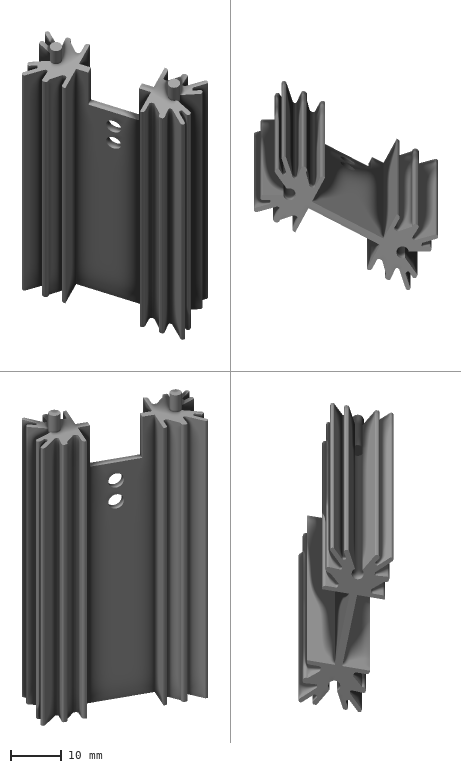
import cadquery as cq
import math

total_height = 67.45
pin_protrusion = 3.85
body_height = total_height - pin_protrusion
half_width = 17.5
half_depth = 6.35

web_half_thickness = 0.75
column_inner_x = 8.0

notch_width = 10.9
notch_depth = 9.45
mount_hole_diameter = 3.25
first_hole_below_top = 13.6
mount_hole_spacing = 4.8
mount_hole_count = 2

pin_offset = 12.7
pin_radius = 1.2
pin_length = pin_protrusion + notch_depth

groove_floor_y = 3.3
inner_fin_outer_x = 8.9
bore_mouth_half_width = web_half_thickness
bore_mouth_x = pin_offset + math.sqrt(pin_radius**2 - bore_mouth_half_width**2)

quarter_column = [
    (column_inner_x, half_depth, 0),
    (inner_fin_outer_x, half_depth, 0.6),
    (inner_fin_outer_x, groove_floor_y, 0.5),
    (9.85, groove_floor_y, 0.5),
    (11.9, 5.45, 0),
    (11.9, half_depth, 0.6),
    (13.15, half_depth, 0.4),
    (12.95, groove_floor_y, 0.35),
    (13.6, groove_floor_y, 0.35),
    (16.8, half_depth, 0.2),
    (half_width, half_depth, 0.4),
    (half_width, 5.75, 0.15),
    (15.2, 3.5, 0.3),
    (15.45, 2.75, 0.3),
    (17.0, 3.65, 0.35),
    (half_width, 3.4, 0.35),
    (half_width, 2.7, 0.35),
    (bore_mouth_x, bore_mouth_half_width, 0),
]


def rounded_outline(corners):
    """Closed wire through the corners, with a tangent arc wherever the radius is not zero."""
    outline = None
    for i, (x, y, radius) in enumerate(corners):
        corner = cq.Vector(x, y)
        before = (cq.Vector(*corners[i - 1][:2]) - corner).normalized()
        after = (cq.Vector(*corners[(i + 1) % len(corners)][:2]) - corner).normalized()
        half_angle = before.getAngle(after) / 2
        setback = radius / math.tan(half_angle)
        start = corner + before * setback
        outline = outline.lineTo(start.x, start.y) if outline else cq.Workplane("XY").moveTo(start.x, start.y)
        if radius:
            to_arc = radius / math.sin(half_angle) - radius
            middle = corner + (before + after).normalized() * to_arc
            end = corner + after * setback
            outline = outline.threePointArc((middle.x, middle.y), (end.x, end.y))
    return outline.close()


def make_column():
    """Finned column on the +X side, before its bore is cut."""
    mirrored = [(x, -y, radius) for x, y, radius in reversed(quarter_column)]
    return rounded_outline(quarter_column + mirrored).extrude(body_height)


def make_heat_sink():
    column = make_column()
    web = cq.Workplane("XY").box(
        2 * column_inner_x, 2 * web_half_thickness, body_height, centered=(True, True, False)
    )
    sink = web.union(column).union(column.mirror("YZ"))

    bores = (
        cq.Workplane("XY")
        .pushPoints([(-pin_offset, 0), (pin_offset, 0)])
        .circle(pin_radius)
        .extrude(body_height)
    )
    notch = (
        cq.Workplane("XY")
        .workplane(offset=body_height - notch_depth)
        .rect(notch_width, 2 * web_half_thickness)
        .extrude(notch_depth)
    )
    hole_heights = [
        body_height - first_hole_below_top - i * mount_hole_spacing for i in range(mount_hole_count)
    ]
    mount_holes = (
        cq.Workplane("XZ")
        .pushPoints([(0, z) for z in hole_heights])
        .circle(mount_hole_diameter / 2)
        .extrude(web_half_thickness, both=True)
    )
    return sink.cut(bores).cut(notch).cut(mount_holes)


def make_pin(x):
    return (
        cq.Workplane("XY")
        .workplane(offset=total_height - pin_length)
        .center(x, 0)
        .circle(pin_radius)
        .extrude(pin_length)
    )


heat_sink = make_heat_sink()
pins = [make_pin(side * pin_offset) for side in (-1, 1)]

result = cq.Compound.makeCompound([heat_sink.val(), *[pin.val() for pin in pins]])